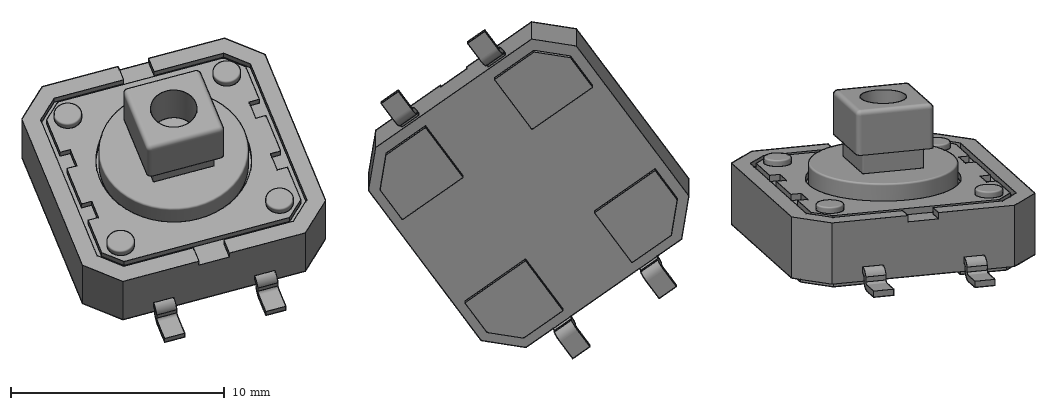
import cadquery as cq
import math

body_side = 12.0
body_corner = 1.5
body_bottom = 0.3
body_top = 3.3

recess_side = 10.35
recess_corner = 1.0
recess_depth = 0.3
channel_width = 1.5

plate_side = 9.82
plate_corner = 0.83
notch_width = 1.0
notch_depth = 0.5
notch_offset = 1.59
plate_hole_diameter = 7.28

rivet_diameter = 1.3
rivet_top = 3.6
rivet_fillet = 0.08
rivet_offset = 3.92

collar_diameter = 7.0
collar_top = 4.1
collar_fillet = 0.09
stem_side = 3.0
stem_fillet = 0.05
cap_side = 3.8
cap_bottom = 5.14
cap_top = 7.3
cap_fillet = 0.23
bore_diameter = 2.17
bore_depth = cap_top - cap_bottom

overall_length = 15.3
lead_width = 1.0
lead_thickness = 0.3
lead_offset = 2.5
bend_inner = 0.2
bend_outer = bend_inner + lead_thickness
bend_spacing = 0.66
lead_embed = 0.3

foot_length = 3.0
foot_width = 3.5
foot_corner = 1.22
foot_edge = 5.5

recess_floor = body_top - recess_depth


def corner_points(offset):
    return [(sx * offset, sy * offset) for sx in (-1, 1) for sy in (-1, 1)]


def block(length, width, bottom, top):
    """Rectangular block centred on the Z axis."""
    return cq.Workplane("XY").workplane(offset=bottom).rect(length, width).extrude(top - bottom)


def octagon(side, corner, bottom, top):
    """Square block with chamfered vertical edges."""
    return block(side, side, bottom, top).edges("|Z").chamfer(corner)


def cylinder(diameter, bottom, top):
    return cq.Workplane("XY").workplane(offset=bottom).circle(diameter / 2).extrude(top - bottom)


def make_housing():
    recess = octagon(recess_side, recess_corner, recess_floor, body_top)
    channel = block(body_side, channel_width, recess_floor, body_top)
    return octagon(body_side, body_corner, body_bottom, body_top).cut(recess).cut(channel)


def make_plate():
    plate = octagon(plate_side, plate_corner, recess_floor, body_top)
    for sx in (-1, 1):
        for sy in (-1, 1):
            notch = block(notch_width, 2 * notch_depth, recess_floor, body_top)
            plate = plate.cut(notch.translate((sx * notch_offset, sy * plate_side / 2, 0)))
    return plate.cut(cylinder(plate_hole_diameter, recess_floor, body_top))


def make_rivet():
    return cylinder(rivet_diameter, recess_floor, rivet_top).faces(">Z").edges().fillet(rivet_fillet)


def make_plunger():
    collar = cylinder(collar_diameter, recess_floor, collar_top).faces(">Z").edges().fillet(collar_fillet)
    stem = block(stem_side, stem_side, collar_top, cap_bottom).edges("|Z").fillet(stem_fillet)
    cap = block(cap_side, cap_side, cap_bottom, cap_top).edges("|Z or >Z").fillet(cap_fillet)
    bore = cylinder(bore_diameter, cap_top - bore_depth, cap_top)
    return collar.union(stem).union(cap).cut(bore)


def bend_point(center_x, radius, angle):
    """Point on a lead bend, with the angle in degrees from +X toward +Z."""
    turn = math.radians(angle)
    return (center_x + radius * math.cos(turn), bend_outer + radius * math.sin(turn))


def make_lead():
    """Lead on the +X side, centred on Y = 0: out of the wall, over a bend, straight down, out over a bend."""
    upper_x = body_side / 2
    lower_x = upper_x + bend_spacing
    inner_end = upper_x - lead_embed
    tip = overall_length / 2
    lead_top = 2 * bend_outer
    outer_trim = math.degrees(math.acos((bend_spacing + lead_thickness) / 2 / bend_outer))
    inner_trim = math.degrees(math.acos((bend_spacing - lead_thickness) / 2 / bend_inner))
    outer_middle = (90 + outer_trim) / 2
    inner_middle = (90 + inner_trim) / 2
    profile = (
        cq.Workplane("XZ")
        .moveTo(inner_end, lead_top)
        .lineTo(upper_x, lead_top)
        .threePointArc(
            bend_point(upper_x, bend_outer, outer_middle),
            bend_point(upper_x, bend_outer, outer_trim),
        )
        .lineTo(*bend_point(lower_x, bend_inner, 180 + inner_trim))
        .threePointArc(
            bend_point(lower_x, bend_inner, 180 + inner_middle),
            (lower_x, lead_thickness),
        )
        .lineTo(tip, lead_thickness)
        .lineTo(tip, 0)
        .lineTo(lower_x, 0)
        .threePointArc(
            bend_point(lower_x, bend_outer, 180 + outer_middle),
            bend_point(lower_x, bend_outer, 180 + outer_trim),
        )
        .lineTo(*bend_point(upper_x, bend_inner, inner_trim))
        .threePointArc(
            bend_point(upper_x, bend_inner, inner_middle),
            (upper_x, lead_top - lead_thickness),
        )
        .lineTo(inner_end, lead_top - lead_thickness)
        .close()
    )
    return profile.extrude(lead_width / 2, both=True)


def make_foot():
    """Foot under the +X +Y corner, chamfered at its outer corner."""
    foot = block(foot_length, foot_width, 0, body_bottom).edges("|Z and >X and >Y").chamfer(foot_corner)
    return foot.translate((foot_edge - foot_length / 2, foot_edge - foot_width / 2, 0))


result = make_housing().union(make_plate()).union(make_plunger())

for x, y in corner_points(rivet_offset):
    result = result.union(make_rivet().translate((x, y, 0)))

for side in (-1, 1):
    lead = make_lead().translate((0, side * lead_offset, 0))
    foot = make_foot() if side > 0 else make_foot().mirror("XZ")
    result = result.union(lead).union(lead.mirror("YZ"))
    result = result.union(foot).union(foot.mirror("YZ"))